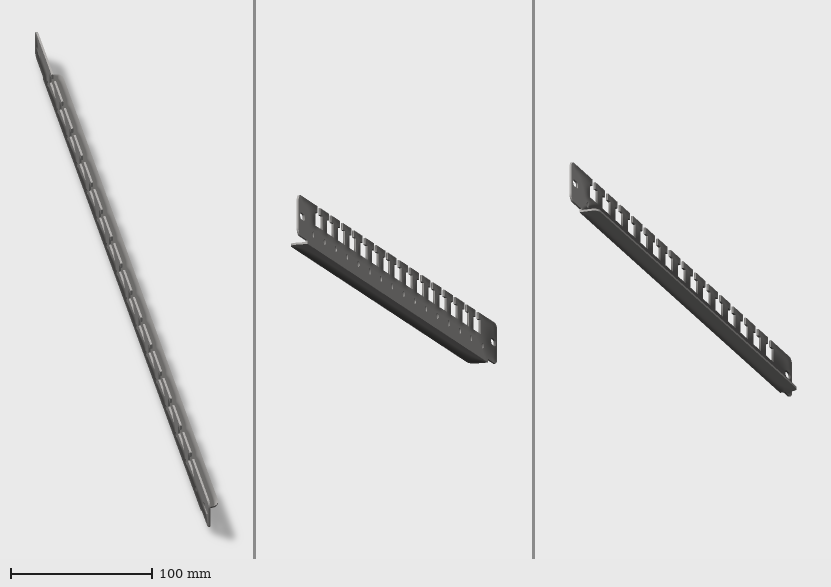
import cadquery as cq

length = 440.0
height = 32.0
depth = 14.0
thickness = 1.5

plate_bottom = 2.5
plate_height = height - plate_bottom
plate_corner_radius = 5.0

flange_length = 400.0
flange_corner_radius = 5.0

hole_count = 16
hole_pitch = 25.0
hole_diameter = 4.2
hole_z = 9.5

opening_count = hole_count - 1
neck_width = 6.0
neck_depth = 5.0
pocket_width = 15.0
opening_depth = 15.0

slot_length = 10.0
slot_width = 4.8
slot_end_margin = 3.5
slot_x = length / 2 - slot_end_margin - slot_length / 2
slot_z = plate_bottom + plate_height / 2


def block(width, block_depth, block_height, bottom):
    """Box centred on X, starting at the front face Y = 0 and at the given Z."""
    return cq.Workplane("XY").box(
        width, block_depth, block_height, centered=(True, False, False)
    ).translate((0, 0, bottom))


def front_plane():
    """Sketch plane on the front face; positive extrusion points toward -Y."""
    return cq.Workplane("XZ")


def row(count):
    """Evenly pitched X positions centred on the part."""
    return [(i - (count - 1) / 2) * hole_pitch for i in range(count)]


def make_plate():
    plate = block(length, thickness, plate_height, plate_bottom)
    return plate.edges("|Y").fillet(plate_corner_radius)


def make_flange():
    flange = block(flange_length, depth, thickness, 0)
    return flange.edges("|Z and >Y").fillet(flange_corner_radius)


def make_bend_web():
    """Narrower strip of wall that joins the plate to the flange."""
    return block(flange_length, thickness, plate_bottom + plate_corner_radius, 0)


def make_cable_openings():
    neck = block(neck_width, thickness, neck_depth, height - neck_depth)
    pocket = block(
        pocket_width, thickness, opening_depth - neck_depth, height - opening_depth
    )
    opening = neck.union(pocket)
    openings = cq.Workplane("XY")
    for x in row(opening_count):
        openings = openings.add(opening.translate((x, 0, 0)))
    return openings.combine()


def make_holes():
    centres = [(x, hole_z) for x in row(hole_count)]
    return front_plane().pushPoints(centres).circle(hole_diameter / 2).extrude(-thickness)


def make_mounting_slots():
    centres = [(-slot_x, slot_z), (slot_x, slot_z)]
    return front_plane().pushPoints(centres).slot2D(slot_length, slot_width).extrude(-thickness)


bracket = make_plate().union(make_bend_web()).union(make_flange())
bracket = bracket.cut(make_cable_openings())
bracket = bracket.cut(make_holes())
result = bracket.cut(make_mounting_slots())